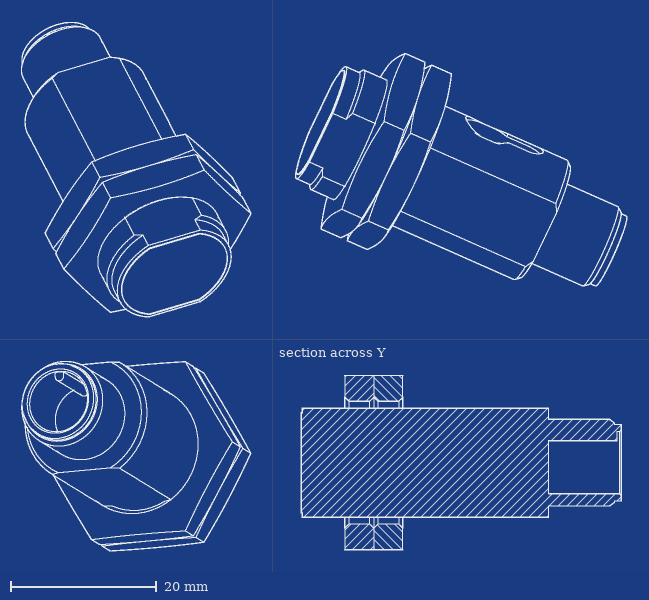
import cadquery as cq
import math

TOTAL_LENGTH = 44.0
TIP_END = 0.92
NECK_START = 1.65
BODY_START = 10.0
END_STEP_START = 41.85
END_FACE_STEP = 0.15
END_FACE_INSET = 0.6

TIP_RADIUS = 5.3
NECK_CHAMFER_RADIUS = 5.45
NECK_RADIUS = 6.0
BODY_DIAMETER = 18.0
BODY_RADIUS = BODY_DIAMETER / 2
CORE_DIAMETER = 16.85
CORE_RADIUS = CORE_DIAMETER / 2
BODY_CHAMFER = 0.65
END_CHAMFER = 0.45
FLAT_SPACING = 15.0

SOCKET_RADIUS = 4.25
SOCKET_DEPTH = BODY_START
SOCKET_CHAMFER = 0.25
KEY_WIDTH = 1.25
KEY_TIP_HEIGHT = 3.0
KEY_START = 0.55

DIAL_X = 22.5
DIAL_RADIUS = 3.6
SLOT_START = 14.4
SLOT_RADIUS = 2.15
RECESS_DEPTH = 0.7

NUT_COUNT = 2
NUT_START = 30.0
NUT_THICKNESS = 4.0
NUT_ACROSS_FLATS = 24.0
NUT_CORNER_CHAMFER = 0.5
NUT_BORE_CHAMFER = BODY_RADIUS - CORE_RADIUS


def cylinder(start, end, radius):
    """Solid cylinder on the X axis."""
    return cq.Workplane("YZ", origin=(start, 0, 0)).circle(radius).extrude(end - start)


def turned(points):
    """Solid of revolution about the X axis from (x, radius) points."""
    return cq.Workplane("XY").polyline(points).close().revolve(360, (0, 0, 0), (1, 0, 0))


def between_flats(radius, flat_spacing):
    """Full-length bar of a round section cut by two flats."""
    round_bar = cylinder(0, TOTAL_LENGTH, radius)
    slab = cq.Workplane("XY").box(2 * TOTAL_LENGTH, 2 * radius, flat_spacing)
    return round_bar.intersect(slab)


def make_outer_form():
    """Turned outside of the body, flattened on top and bottom, with the stepped end face."""
    rim_x = TOTAL_LENGTH - END_FACE_STEP
    form = turned([
        (0, 0),
        (0, TIP_RADIUS),
        (TIP_END, TIP_RADIUS),
        (TIP_END, NECK_CHAMFER_RADIUS),
        (NECK_START, NECK_RADIUS),
        (BODY_START, NECK_RADIUS),
        (BODY_START, CORE_RADIUS),
        (BODY_START + BODY_CHAMFER, BODY_RADIUS),
        (END_STEP_START - END_CHAMFER, BODY_RADIUS),
        (END_STEP_START, CORE_RADIUS),
        (rim_x, CORE_RADIUS),
        (rim_x, 0),
    ])
    form = form.intersect(between_flats(BODY_RADIUS, FLAT_SPACING))
    raised_bar = between_flats(CORE_RADIUS - END_FACE_INSET, FLAT_SPACING - 2 * END_FACE_INSET)
    raised_face = raised_bar.intersect(cylinder(BODY_START, TOTAL_LENGTH, BODY_RADIUS))
    return form.union(raised_face)


def make_socket():
    """Blind connector socket with a chamfered mouth, leaving the key standing at its top."""
    mouth_radius = SOCKET_RADIUS + SOCKET_CHAMFER
    socket = turned([
        (0, 0),
        (0, mouth_radius),
        (SOCKET_CHAMFER, SOCKET_RADIUS),
        (SOCKET_DEPTH, SOCKET_RADIUS),
        (SOCKET_DEPTH, 0),
    ])
    key_radius = KEY_WIDTH / 2
    key_shoulder = KEY_TIP_HEIGHT + key_radius
    key = (
        cq.Workplane("YZ", origin=(KEY_START, 0, 0))
        .moveTo(-key_radius, NECK_RADIUS)
        .lineTo(-key_radius, key_shoulder)
        .threePointArc((0, KEY_TIP_HEIGHT), (key_radius, key_shoulder))
        .lineTo(key_radius, NECK_RADIUS)
        .close()
        .extrude(SOCKET_DEPTH - KEY_START)
    )
    return socket.cut(key)


def make_side_recess():
    """Round dial recess joined by a round-ended slot, sunk into the +Y side."""
    floor = cq.Workplane("XZ", origin=(0, BODY_RADIUS - RECESS_DEPTH, 0))
    dial = floor.center(DIAL_X, 0).circle(DIAL_RADIUS).extrude(-BODY_RADIUS)
    slot_center = SLOT_START + SLOT_RADIUS
    slot_end = floor.center(slot_center, 0).circle(SLOT_RADIUS).extrude(-BODY_RADIUS)
    slot_run = (
        floor.center((slot_center + DIAL_X) / 2, 0)
        .rect(DIAL_X - slot_center, 2 * SLOT_RADIUS)
        .extrude(-BODY_RADIUS)
    )
    return dial.union(slot_end).union(slot_run)


def make_nut(start, outer_form):
    """Hexagon nut with chamfered corners, its bore cleared to fit the body."""
    end = start + NUT_THICKNESS
    flat_radius = NUT_ACROSS_FLATS / 2
    corner_radius = flat_radius / math.cos(math.pi / 6)
    hexagon = (
        cq.Workplane("YZ", origin=(start, 0, 0))
        .polygon(6, 2 * corner_radius)
        .extrude(NUT_THICKNESS)
    )
    corner_envelope = turned([
        (start, 0),
        (start, flat_radius),
        (start + NUT_CORNER_CHAMFER, corner_radius),
        (end - NUT_CORNER_CHAMFER, corner_radius),
        (end, flat_radius),
        (end, 0),
    ])
    bore = turned([
        (start, 0),
        (start, BODY_RADIUS),
        (start + NUT_BORE_CHAMFER, CORE_RADIUS),
        (end - NUT_BORE_CHAMFER, CORE_RADIUS),
        (end, BODY_RADIUS),
        (end, 0),
    ])
    return hexagon.intersect(corner_envelope).cut(bore).cut(outer_form)


outer_form = make_outer_form()
sensor_body = outer_form.cut(make_socket()).cut(make_side_recess())
nuts = [make_nut(NUT_START + i * NUT_THICKNESS, outer_form) for i in range(NUT_COUNT)]

result = cq.Compound.makeCompound([sensor_body.val(), *[nut.val() for nut in nuts]])